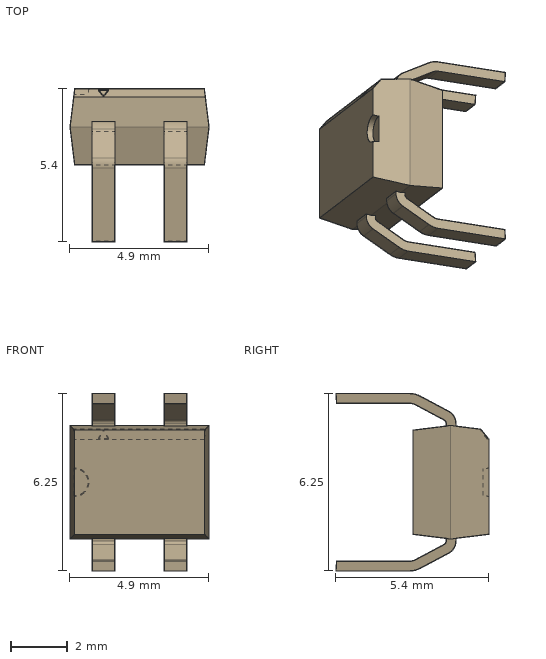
import cadquery as cq
import math


body_width = 4.9
body_height = 4
back_depth = 1.355
front_depth = 1.33
draft_angle = 7

bevel_depth = 0.3
bevel_drop = 0.5

notch_radius = 0.5
notch_depth = 0.21

mark_x = -1.27
mark_width = 0.36
mark_length = 0.36
mark_sink = 0.045

lead_width = 0.8
lead_thickness = 0.35
lead_pitch = 2.54
lead_centre_y = 0.01
lead_tip_y = -4.045
lead_span = 6.25
lead_rise = 0.07
lead_slope = math.radians(28)
first_inner_radius = 0.14
second_inner_radius = 0.4
tip_slant = 0.025

half_height = body_height / 2
back_inset = back_depth * math.tan(math.radians(draft_angle))
back_half_width = body_width / 2 - back_inset
back_half_height = half_height - back_inset

bevel_top = (
    back_depth - bevel_depth,
    back_half_height + bevel_depth * math.tan(math.radians(draft_angle)),
)
bevel_bottom = (back_depth, half_height - bevel_drop)
bevel_slope = math.atan2(bevel_top[1] - bevel_bottom[1], bevel_depth)


def body_half(direction, depth):
    """Half of the body, drafted from the parting plane towards direction * Y."""
    plane = cq.Plane(origin=(0, 0, 0), xDir=(1, 0, 0), normal=(0, direction, 0))
    return (
        cq.Workplane(plane)
        .rect(body_width, body_height)
        .extrude(depth, taper=draft_angle)
    )


def bevel_cutter():
    """Wedge that takes off the upper back edge over the full width."""
    corner = (back_depth, half_height)
    above_top = (bevel_top[0], half_height)
    return (
        cq.Workplane("YZ")
        .polyline([bevel_bottom, corner, above_top, bevel_top])
        .close()
        .extrude(body_width / 2, both=True)
    )


def notch_cutter():
    """Blind, drafted round hole centred on the -X edge of the back face."""
    plane = cq.Plane(
        origin=(-back_half_width, back_depth, 0), xDir=(1, 0, 0), normal=(0, -1, 0)
    )
    return cq.Workplane(plane).circle(notch_radius).extrude(notch_depth, taper=draft_angle)


def mark_cutter():
    """Shallow triangle centred on the bevel, with its tip at the upper end."""
    plane = cq.Plane(
        origin=(
            mark_x,
            (bevel_top[0] + bevel_bottom[0]) / 2,
            (bevel_top[1] + bevel_bottom[1]) / 2,
        ),
        xDir=(1, 0, 0),
        normal=(0, math.sin(bevel_slope), math.cos(bevel_slope)),
    )
    half_length = mark_length / 2
    return (
        cq.Workplane(plane)
        .polyline([
            (-mark_width / 2, half_length),
            (mark_width / 2, half_length),
            (0, -half_length),
        ])
        .close()
        .extrude(-mark_sink)
    )


def upper_lead(x):
    """Lead that rises from the parting plane and bends over towards -Y."""
    first_outer_radius = first_inner_radius + lead_thickness
    second_outer_radius = second_inner_radius + lead_thickness
    outer_z = lead_span / 2
    inner_z = outer_z - lead_thickness
    back_y = lead_centre_y + lead_thickness / 2
    front_y = lead_centre_y - lead_thickness / 2

    first_z = half_height + lead_rise
    second_z = outer_z - second_outer_radius
    bend_spacing = (
        (second_z - first_z) * math.cos(lead_slope) + second_inner_radius - first_inner_radius
    ) / math.sin(lead_slope)
    first_centre = (back_y - first_outer_radius, first_z)
    second_centre = (first_centre[0] - bend_spacing, second_z)

    def on_bend(centre, radius):
        """Point where a bend meets the sloping stretch of the lead."""
        return (
            centre[0] + radius * math.sin(lead_slope),
            centre[1] + radius * math.cos(lead_slope),
        )

    return (
        cq.Workplane("YZ", origin=(x - lead_width / 2, 0, 0))
        .moveTo(back_y, 0)
        .lineTo(back_y, first_z)
        .tangentArcPoint(on_bend(first_centre, first_outer_radius), relative=False)
        .lineTo(*on_bend(second_centre, second_outer_radius))
        .tangentArcPoint((second_centre[0], outer_z), relative=False)
        .lineTo(lead_tip_y, outer_z)
        .lineTo(lead_tip_y + tip_slant, inner_z)
        .lineTo(second_centre[0], inner_z)
        .tangentArcPoint(on_bend(second_centre, second_inner_radius), relative=False)
        .lineTo(*on_bend(first_centre, first_inner_radius))
        .tangentArcPoint((front_y, first_z), relative=False)
        .lineTo(front_y, 0)
        .close()
        .extrude(lead_width)
    )


body = body_half(1, back_depth).union(body_half(-1, front_depth))
body = body.cut(bevel_cutter()).cut(notch_cutter()).cut(mark_cutter())

result = body
for lead_x in (-lead_pitch / 2, lead_pitch / 2):
    lead = upper_lead(lead_x)
    result = result.union(lead).union(lead.mirror("XY"))